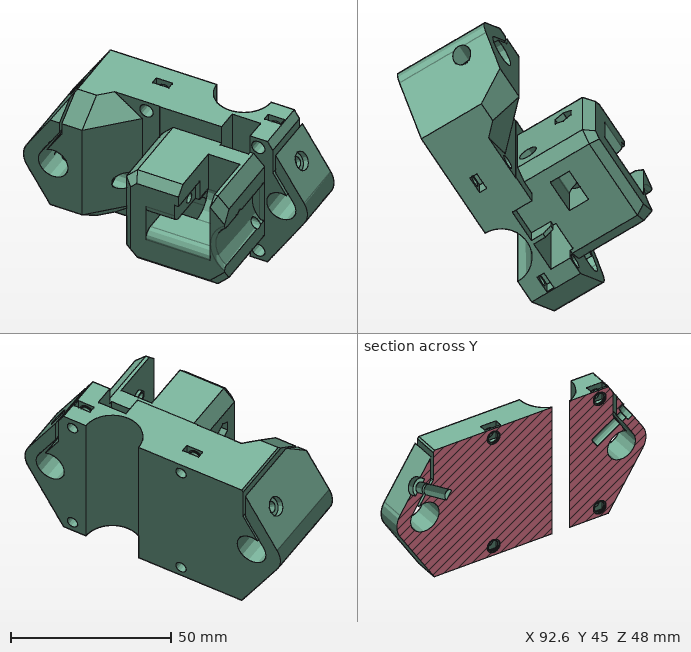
import cadquery as cq
import math


WIDTH = 92.6
HEIGHT = 48.0
DEPTH = 45.0
TIP_RADIUS = 7.5
CORNER_X = 32.3
PLATE_DEPTH = 18.0
PAD_START_X = -5.6
PAD_RISE = 0.2

BLOCK_DEPTH = 31.9
BLOCK_INNER_X = -25.65
BLOCK_FRONT_HALF_HEIGHT = 16.85
BLOCK_SLOPE_START = 22.1

LEFT_ROD_X = -35.8
LEFT_ROD_RADIUS = 5.2
RIGHT_ROD_X = 37.1
RIGHT_ROD_RADIUS = 5.1
LEFT_SLIT_X = 33.6
LEFT_SLIT_WIDTH = 0.8
RIGHT_SLIT_X = 35.2
RIGHT_SLIT_WIDTH = 1.0
CLAMP_DEPTH = 9.0
LEFT_CLAMP_Z = 13.0
RIGHT_CLAMP_Z = 12.6
CLAMP_HEAD_DEPTH = 2.0
CLAMP_HOLE_LENGTH = 14.8

SCREW_RADIUS = 1.7
HEAD_RADIUS = 3.1
CLAMP_HOLE_RADIUS = 1.8

MOUNT_XS = (-10.3, 29.1)
MOUNT_Z = 20.5
MOUNT_RADIUS = 1.85
MOUNT_FRONT_RADIUS = 2.3
MOUNT_FRONT_DEPTH = 9.3
NUT_SLOT_WIDTH = 5.7
NUT_SLOT_BACK = 5.8
NUT_SLOT_LENGTH = 2.6

BEARING_X = 14.6
BEARING_RADIUS = 9.5

BOX_LEFT = -4.7
BOX_RIGHT = 31.3
BOX_HALF_HEIGHT = 17.5
BOX_CORNER = 3.9
BOX_CHAMFER = 3.0

SLOT_LEFT = 15.1
SLOT_RIGHT = 26.2
PASSAGE_LEFT = 3.6
PASSAGE_RIGHT = 14.8
PASSAGE_HALF_HEIGHT = 3.5
PASSAGE_BACK = 24.9
LIP_RADIUS = 3.1
SHAFT_LEFT = 16.2
SHAFT_BACK = 10.9
SHAFT_FRONT = 19.1
RIB_CHAMFER = 3.0

AXLE_DEPTH = 34.9
AXLE_Z = 6.5
BOSS_RADIUS = 2.2
BOSS_LENGTH = 1.1
WASHER_HALF_HEIGHT = 4.3
WASHER_DEPTH = 1.5
NUT_FLATS = 5.9
NUT_DEPTH = 4.6

CLEARANCE_FLOOR = 1.3
CLEARANCE_FILLET = 1.2

CROSS_DEPTH = 21.9
CROSS_Z = -6.5
CROSS_SEAT_LEFT_X = -39.8
CROSS_SEAT_RAMP_X = -20.4
CROSS_SEAT_BOX = 5.6

TOP = HEIGHT / 2
PAD_FRONT = -PLATE_DEPTH - PAD_RISE


def side_angle():
    """Angle between the slanted outline sides and the Z axis."""
    tip_center = WIDTH / 2 - TIP_RADIUS
    dx = tip_center - CORNER_X
    distance = math.hypot(dx, TOP)
    return math.atan2(dx, TOP) + math.asin(TIP_RADIUS / distance)


SIDE_ANGLE = side_angle()


def box(x0, x1, y0, y1, z0, z1):
    return cq.Workplane("XY").box(x1 - x0, y1 - y0, z1 - z0, centered=False).translate((x0, y0, z0))


def x_cylinder(x0, x1, depth, z, radius):
    return cq.Workplane("YZ", origin=(x0, -depth, z)).circle(radius).extrude(x1 - x0)


def y_cylinder(x, z, radius, y0, y1):
    """Cylinder along Y; y0 is the back end and y1 the front end."""
    return cq.Workplane("XZ", origin=(x, y0, z)).circle(radius).extrude(y0 - y1)


def outline(depth):
    """Full plate outline, reaching forward from the back face."""
    tip_x = WIDTH / 2
    tangent_x = tip_x - TIP_RADIUS * (1 - math.cos(SIDE_ANGLE))
    tangent_z = TIP_RADIUS * math.sin(SIDE_ANGLE)
    return (
        cq.Workplane("XZ")
        .moveTo(-CORNER_X, TOP)
        .lineTo(CORNER_X, TOP)
        .lineTo(tangent_x, tangent_z)
        .threePointArc((tip_x, 0), (tangent_x, -tangent_z))
        .lineTo(CORNER_X, -TOP)
        .lineTo(-CORNER_X, -TOP)
        .lineTo(-tangent_x, -tangent_z)
        .threePointArc((-tip_x, 0), (-tangent_x, tangent_z))
        .close()
        .extrude(depth)
    )


def plate():
    pad_profile = [
        (PAD_START_X, 0),
        (PAD_START_X, PAD_FRONT),
        (WIDTH / 2, -PLATE_DEPTH),
        (WIDTH / 2, 0),
    ]
    pad = (
        cq.Workplane("XY", origin=(0, 0, -TOP))
        .polyline(pad_profile)
        .close()
        .extrude(HEIGHT)
    )
    return outline(PLATE_DEPTH).union(outline(DEPTH).intersect(pad))


def left_block():
    profile = [
        (0, -TOP),
        (0, TOP),
        (-BLOCK_SLOPE_START, TOP),
        (-BLOCK_DEPTH, BLOCK_FRONT_HALF_HEIGHT),
        (-BLOCK_DEPTH, -BLOCK_FRONT_HALF_HEIGHT),
        (-BLOCK_SLOPE_START, -TOP),
    ]
    prism = cq.Workplane("YZ", origin=(-WIDTH / 2, 0, 0)).polyline(profile).close()
    body = prism.extrude(BLOCK_INNER_X + WIDTH / 2).intersect(outline(DEPTH))

    rise = BLOCK_DEPTH - PLATE_DEPTH
    raised = [(-PLATE_DEPTH, -TOP), (-PLATE_DEPTH, TOP)] + profile[2:]
    wire = cq.Wire.makePolygon([cq.Vector(BLOCK_INNER_X, y, z) for y, z in raised], close=True)
    ramp = cq.Solid.extrudeLinear(wire, [], cq.Vector(rise, rise, 0))
    return body.union(cq.Workplane(obj=ramp))


def pulley_box():
    """Box with cut corners; all front edges except the right one are chamfered."""
    body = box(BOX_LEFT, BOX_RIGHT, -DEPTH, -PLATE_DEPTH / 2, -BOX_HALF_HEIGHT, BOX_HALF_HEIGHT)
    body = body.edges("|Y").chamfer(BOX_CORNER)
    return body.faces("<Y").edges("not(>X)").chamfer(BOX_CHAMFER)


def belt_opening(x0, x1, turn, open_front):
    """Passage from the front face that bends out of the box; turn is 1 for up and -1 for down."""
    near_z = -turn * PASSAGE_HALF_HEIGHT
    far_z = turn * PASSAGE_HALF_HEIGHT
    exit_z = turn * BOX_HALF_HEIGHT
    bend = 2 * PASSAGE_HALF_HEIGHT
    bend_y = -PASSAGE_BACK - bend
    middle = bend * math.sqrt(0.5)
    path = (
        cq.Workplane("YZ", origin=(x0, 0, 0))
        .moveTo(-DEPTH, near_z)
        .lineTo(bend_y, near_z)
        .threePointArc((bend_y + middle, far_z - turn * middle), (-PASSAGE_BACK, far_z))
        .lineTo(-PASSAGE_BACK, exit_z)
    )
    if open_front:
        path = path.lineTo(-DEPTH, exit_z)
    else:
        path = path.lineTo(bend_y, exit_z).lineTo(bend_y, far_z).lineTo(-DEPTH, far_z)
    return path.close().extrude(x1 - x0)


def belt_openings():
    left_passage = belt_opening(PASSAGE_LEFT, PASSAGE_RIGHT, -1, open_front=False)
    right_slot = belt_opening(PASSAGE_RIGHT, SLOT_RIGHT, 1, open_front=True)
    step = box(PASSAGE_RIGHT, SLOT_LEFT, -DEPTH, 0, PASSAGE_HALF_HEIGHT, BOX_HALF_HEIGHT)
    return left_passage.union(right_slot.cut(step))


def lip_flare(x0, x1, side):
    """Rounds the front edge of the belt passage; side is 1 for its upper edge, -1 for its lower."""
    inner = side * PASSAGE_HALF_HEIGHT
    outer = side * (PASSAGE_HALF_HEIGHT + LIP_RADIUS)
    start_y = -DEPTH + LIP_RADIUS
    middle = LIP_RADIUS * math.sqrt(0.5)
    return (
        cq.Workplane("YZ", origin=(x0, 0, 0))
        .moveTo(-DEPTH, inner)
        .lineTo(start_y, inner)
        .threePointArc((start_y - middle, outer - side * middle), (-DEPTH, outer))
        .close()
        .extrude(x1 - x0)
    )


def plate_belt_openings():
    """Shaft along Z, pocket below the box, and the beveled lower end of the rib between them."""
    shaft = box(SHAFT_LEFT, SLOT_RIGHT, -SHAFT_FRONT, -SHAFT_BACK, -TOP, TOP)
    pocket = box(PASSAGE_LEFT, PASSAGE_RIGHT, -SHAFT_FRONT, -SHAFT_BACK, -TOP, -BOX_HALF_HEIGHT)
    rib_chamfer = (
        cq.Workplane("YZ", origin=(PASSAGE_RIGHT, 0, 0))
        .polyline([(PAD_FRONT, -TOP), (PAD_FRONT + RIB_CHAMFER, -TOP), (PAD_FRONT, -TOP + RIB_CHAMFER)])
        .close()
        .extrude(SHAFT_LEFT - PASSAGE_RIGHT)
    )
    return shaft.union(pocket).union(rib_chamfer)


def slit(side, rod_x, rod_radius, outer_x, width):
    """Bent clamp slit whose outer wall is tangent to the rod bore; side is -1 left, 1 right."""
    cos, sin = math.cos(SIDE_ANGLE), math.sin(SIDE_ANGLE)
    tangent = (abs(rod_x) + rod_radius * cos, rod_radius * sin)
    bend_outer = (outer_x, tangent[1] + (tangent[0] - outer_x) * cos / sin)
    bend_inner = (outer_x - width, bend_outer[1] - width * math.tan(SIDE_ANGLE / 2))
    points = [
        (outer_x, TOP),
        bend_outer,
        tangent,
        (tangent[0] - width * cos, tangent[1] - width * sin),
        bend_inner,
        (outer_x - width, TOP),
    ]
    points = [(side * x, z) for x, z in points]
    return cq.Workplane("XZ").polyline(points).close().extrude(DEPTH)


def clamp_screw(side, z):
    """Screw hole square to the slanted outline side, crossing the slit into the body."""
    face_x = CORNER_X + (TOP - z) * math.tan(SIDE_ANGLE)
    inward = cq.Vector(-side * math.cos(SIDE_ANGLE), 0, -math.sin(SIDE_ANGLE))
    entry = cq.Vector(side * face_x, -CLAMP_DEPTH, z)
    hole = cq.Solid.makeCylinder(CLAMP_HOLE_RADIUS, CLAMP_HOLE_LENGTH, entry, inward)
    head_start = entry - inward * CLAMP_HEAD_DEPTH
    head = cq.Solid.makeCylinder(HEAD_RADIUS, 2 * CLAMP_HEAD_DEPTH, head_start, inward)
    return cq.Workplane(obj=hole).union(cq.Workplane(obj=head))


def mount_hole(x, side):
    """Stepped hole along Y and its nut slot, which opens at the top (side 1) or bottom (side -1)."""
    z = side * MOUNT_Z
    hole = y_cylinder(x, z, MOUNT_RADIUS, 0, PAD_FRONT)
    front = y_cylinder(x, z, MOUNT_FRONT_RADIUS, -PLATE_DEPTH + MOUNT_FRONT_DEPTH, PAD_FRONT)
    ends = sorted((side * TOP, z - side * NUT_SLOT_WIDTH / 2))
    nut_slot = box(
        x - NUT_SLOT_WIDTH / 2,
        x + NUT_SLOT_WIDTH / 2,
        -NUT_SLOT_BACK - NUT_SLOT_LENGTH,
        -NUT_SLOT_BACK,
        ends[0],
        ends[1],
    )
    return hole.union(front).union(nut_slot)


def axle_cuts():
    """Axle hole along X with a hexagonal nut recess in the left side of the box."""
    hole = x_cylinder(BOX_LEFT, BOX_RIGHT, AXLE_DEPTH, AXLE_Z, SCREW_RADIUS)
    nut = (
        cq.Workplane("YZ", origin=(BOX_LEFT, -AXLE_DEPTH, AXLE_Z))
        .transformed(rotate=(0, 0, 90))
        .polygon(6, NUT_FLATS / math.cos(math.pi / 6))
        .extrude(NUT_DEPTH)
    )
    return hole.union(nut)


def washer_recess():
    """Recess in the left wall of the belt slot, level with the axle and open to the front."""
    return box(
        SLOT_LEFT - WASHER_DEPTH,
        SLOT_LEFT,
        -DEPTH,
        -AXLE_DEPTH + WASHER_HALF_HEIGHT,
        AXLE_Z - WASHER_HALF_HEIGHT,
        AXLE_Z + WASHER_HALF_HEIGHT,
    )


def rod_clearance():
    """Cylindrical bite in the right side of the box with rounded edges at its front and floor."""
    floor = -PLATE_DEPTH - CLEARANCE_FLOOR
    r = CLEARANCE_FILLET
    middle = r * (1 - math.sqrt(0.5))
    flared = (
        cq.Workplane("XY", origin=(RIGHT_ROD_X, 0, 0))
        .moveTo(0, -DEPTH)
        .lineTo(BEARING_RADIUS + r, -DEPTH)
        .threePointArc((BEARING_RADIUS + middle, -DEPTH + middle), (BEARING_RADIUS, -DEPTH + r))
        .lineTo(BEARING_RADIUS, floor)
        .lineTo(0, floor)
        .close()
        .revolve(360, (0, 0, 0), (0, 1, 0))
    )
    edge_round = (
        cq.Workplane("XY", origin=(0, 0, -BEARING_RADIUS))
        .moveTo(BOX_RIGHT - r, floor)
        .threePointArc((BOX_RIGHT - middle, floor + middle), (BOX_RIGHT, floor + r))
        .lineTo(BOX_RIGHT, floor)
        .close()
        .extrude(2 * BEARING_RADIUS)
    )
    reach = y_cylinder(RIGHT_ROD_X, 0, BEARING_RADIUS, floor + r, floor)
    return flared.union(edge_round.intersect(reach))


def cross_screw():
    """Screw hole along X with a head seat in the outer side, the ramp and the box."""
    hole = x_cylinder(-WIDTH / 2, BOX_RIGHT, CROSS_DEPTH, CROSS_Z, SCREW_RADIUS)
    left_seat = x_cylinder(-WIDTH / 2, CROSS_SEAT_LEFT_X, CROSS_DEPTH, CROSS_Z, HEAD_RADIUS)
    ramp_to_box = x_cylinder(
        CROSS_SEAT_RAMP_X, BOX_LEFT + CROSS_SEAT_BOX, CROSS_DEPTH, CROSS_Z, HEAD_RADIUS
    )
    return hole.union(left_seat).union(ramp_to_box)


body = plate().union(left_block())
pulley = pulley_box().cut(belt_openings())
pulley = pulley.cut(lip_flare(PASSAGE_LEFT, SLOT_RIGHT, -1)).cut(lip_flare(PASSAGE_LEFT, SLOT_LEFT, 1))
pulley = pulley.cut(washer_recess()).cut(rod_clearance())
pulley = pulley.union(x_cylinder(SLOT_RIGHT - BOSS_LENGTH, SLOT_RIGHT, AXLE_DEPTH, AXLE_Z, BOSS_RADIUS))
pulley = pulley.cut(axle_cuts())
body = body.union(pulley)

body = body.cut(plate_belt_openings())
body = body.cut(cq.Workplane("XY", origin=(BEARING_X, 0, -TOP)).circle(BEARING_RADIUS).extrude(HEIGHT))
body = body.cut(y_cylinder(LEFT_ROD_X, 0, LEFT_ROD_RADIUS, 0, -DEPTH))
body = body.cut(y_cylinder(RIGHT_ROD_X, 0, RIGHT_ROD_RADIUS, 0, PAD_FRONT))
body = body.cut(slit(-1, LEFT_ROD_X, LEFT_ROD_RADIUS, LEFT_SLIT_X, LEFT_SLIT_WIDTH))
body = body.cut(slit(1, RIGHT_ROD_X, RIGHT_ROD_RADIUS, RIGHT_SLIT_X, RIGHT_SLIT_WIDTH))
body = body.cut(clamp_screw(-1, LEFT_CLAMP_Z))
body = body.cut(clamp_screw(1, RIGHT_CLAMP_Z))
for side in (-1, 1):
    for mount_x in MOUNT_XS:
        body = body.cut(mount_hole(mount_x, side))
result = body.cut(cross_screw())